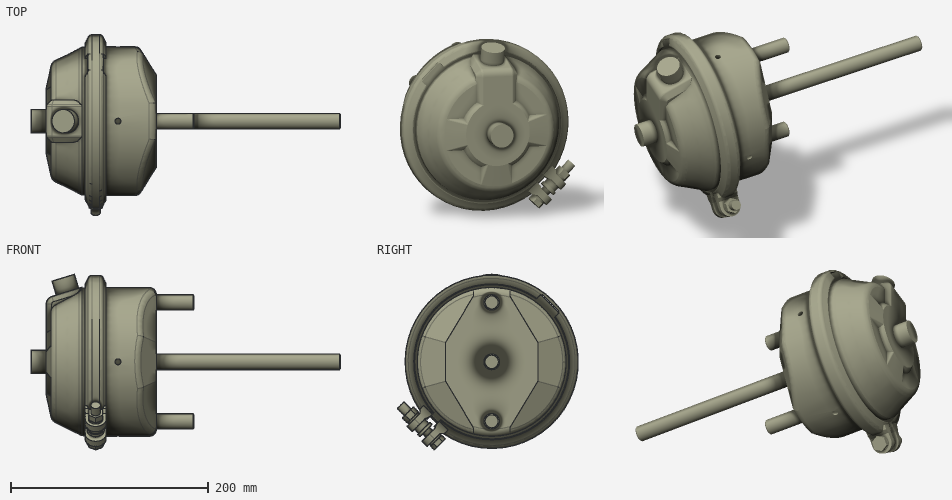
import cadquery as cq
import math


tolerance = 0.03

hub_face_x = 15.5
recess_floor_x = 20.0
recess_floor_radius = 55.2
shoulder_x = 25.0
shoulder_radius = 61.8
cone_end_x = 48.5
cone_end_radius = 73.5
cover_rim_x = 51.5
cover_radius = 150.0 / 2
hub_radius = 33.5
hub_foot_radius = 38.3
spoke_half_width = 10.7
spoke_fillet = 1.5
wall_slant = 5.5

pad_half_width = 16.0
pad_slant = 5.5
pad_wall_deg = 45.0
ridge_fillet = 2.5
pad_slope_deg = 17.0
pad_front_z = 64.7
pad_corner_radius = 8.2

port_diameter = 24.0
upper_port_x = 32.5
upper_port_top_z = 85.5
upper_port_length = 25.0

body_radius = 151.0 / 2
rear_face_x = 127.0
facet_tilt_deg = 32.0
facet_turn_deg = 31.0
middle_facet_reach = 46.8
outer_facet_reach = 50.2
rear_fillet = 7.2
drain_hole_diameter = 6.0
drain_hole_x = 88.2
drain_hole_depth = 6.3
drain_hole_count = 4

rod_diameter = 16.0
rod_end_x = 314.0
stud_diameter = 15.7
stud_end_x = 165.5
stud_offset_z = 60.3
rod_chamfer = 1.3

clamp_x = 65.5
clamp_half_width = 10.7
clamp_radius = 88.0
crown_half_width = 3.8
shoulder_half_width = 8.0
clamp_shoulder_radius = 84.8
round_half_width = 6.3
round_radius = 87.0
lip_radius = 78.2
lip_corner_radius = 79.0
flange_radius = 167.0 / 2
flange_half_width = 8.2
flange_chamfer = 1.5
window_half_length = 13.2
slit_half_length = 11.5
slit_height = 1.3
clamp_gap = 10.0
cut_margin = 6.3

lean = math.sqrt(0.5)
bolt_reach = 96.5
bolt_diameter = 9.7
bolt_head_start = -22.0
bolt_head_height = 5.3
bolt_end = 34.2
hex_across_corners = 16.0
nut_start = 16.5
nut_height = 7.2
lug_inner = 7.0
lug_outer = 14.5
collar_diameter = 14.8
ring_diameter = 17.5
ring_start = -2.2
ring_thickness = 3.0
lug_foot_reach = 80.0
lug_foot_inner_bend = 83.2
lug_bend_reach = 88.8
lug_foot_outer = 17.5


def revolve_about_x(outline):
    """Solid of revolution from an (x, radius) outline drawn on the XY plane."""
    return outline.close().revolve(360, (0, 0, 0), (1, 0, 0))


def rod_along_x(diameter, start, end, z=0.0):
    return cq.Workplane("YZ", origin=(start, 0, z)).circle(diameter / 2).extrude(end - start)


def cover_shell():
    return revolve_about_x(
        cq.Workplane("XY")
        .moveTo(clamp_x, 0)
        .lineTo(clamp_x, cover_radius)
        .lineTo(cover_rim_x, cover_radius)
        .lineTo(cone_end_x, cone_end_radius)
        .lineTo(shoulder_x, shoulder_radius)
        .tangentArcPoint((recess_floor_x, recess_floor_radius), relative=False)
        .lineTo(recess_floor_x, 0)
    )


def hub():
    return revolve_about_x(
        cq.Workplane("XY")
        .moveTo(hub_face_x, 0)
        .lineTo(hub_face_x, hub_radius)
        .lineTo(recess_floor_x, hub_foot_radius)
        .lineTo(clamp_x, hub_foot_radius)
        .lineTo(clamp_x, 0)
    )


def spokes():
    """Three raised arms with sloping walls, falling away from the hub towards the shoulder."""
    foot = spoke_half_width + wall_slant
    section = (
        cq.Workplane("XY")
        .polyline([(recess_floor_x, -foot), (hub_face_x, -spoke_half_width),
                   (hub_face_x, spoke_half_width), (recess_floor_x, foot)])
        .close()
        .extrude(-shoulder_radius)
    )
    slope = revolve_about_x(
        cq.Workplane("XY")
        .moveTo(hub_face_x, 0)
        .lineTo(hub_face_x, hub_radius)
        .lineTo(recess_floor_x, recess_floor_radius)
        .lineTo(recess_floor_x, 0)
    )
    spoke = section.intersect(slope)
    ridges = [
        edge for edge in spoke.edges().vals()
        if abs(edge.Center().y) > spoke_half_width - tolerance
        and edge.Center().x < recess_floor_x - tolerance
        and edge.Center().z < -tolerance
    ]
    spoke = spoke.newObject(ridges).fillet(spoke_fillet)
    arms = spoke
    for turn in (90, -90):
        arms = arms.union(spoke.rotate((0, 0, 0), (1, 0, 0), turn))
    return arms


def port_pad():
    """Wide arm from the hub up to the sloped seat of the upper port."""
    slope = math.radians(pad_slope_deg)
    tangent_length = pad_corner_radius * math.tan((math.pi / 2 - slope) / 2)
    corner_end = (
        hub_face_x + tangent_length * math.cos(slope),
        pad_front_z + tangent_length * math.sin(slope),
    )
    rear_z = pad_front_z + math.tan(slope) * (cover_rim_x - hub_face_x)

    def outline(plane):
        return (
            plane.moveTo(hub_face_x, 0)
            .lineTo(hub_face_x, pad_front_z - tangent_length)
            .tangentArcPoint(corner_end, relative=False)
            .lineTo(cover_rim_x, rear_z)
            .lineTo(cover_rim_x, 0)
            .close()
        )

    pad = outline(cq.Workplane("XZ")).extrude(pad_half_width, both=True)
    wall = outline(cq.Workplane("XZ", origin=(0, -pad_half_width, 0))).extrude(pad_slant, taper=pad_wall_deg)
    pad = pad.union(wall).union(wall.mirror("XZ"))
    ridges = [
        edge for edge in pad.edges().vals()
        if abs(abs(edge.Center().y) - pad_half_width) < tolerance
        and edge.Center().z > tolerance
        and edge.Center().x < cover_rim_x - tolerance
    ]
    return pad.newObject(ridges).fillet(ridge_fillet)


def upper_port():
    tilt = math.radians(pad_slope_deg)
    down = (math.sin(tilt), 0, -math.cos(tilt))
    top = cq.Plane(origin=(upper_port_x, 0, upper_port_top_z), xDir=(0, 1, 0), normal=down)
    return cq.Workplane(top).circle(port_diameter / 2).extrude(upper_port_length)


def rear_facet_cutter(turn_deg, reach):
    """Block above one slanted facet, the facet facing +Y before it is turned about X."""
    tilt = math.radians(facet_tilt_deg)
    facet = cq.Plane(origin=(rear_face_x, reach, 0), xDir=(0, 0, 1),
                     normal=(math.cos(tilt), math.sin(tilt), 0))
    block = cq.Workplane(facet).rect(4 * body_radius, 4 * body_radius).extrude(body_radius)
    return block.rotate((0, 0, 0), (1, 0, 0), turn_deg)


def body_shell():
    body = rod_along_x(2 * body_radius, clamp_x, rear_face_x)
    for side in (0, 180):
        body = body.cut(rear_facet_cutter(side, middle_facet_reach))
        for turn in (-facet_turn_deg, facet_turn_deg):
            body = body.cut(rear_facet_cutter(side + turn, outer_facet_reach))
    rim = [
        edge for edge in body.edges().vals()
        if edge.geomType() != "LINE" and edge.Center().x > drain_hole_x
    ]
    body = body.newObject(rim).fillet(rear_fillet)
    hole = (
        cq.Workplane("XY", origin=(drain_hole_x, 0, body_radius - drain_hole_depth))
        .circle(drain_hole_diameter / 2)
        .extrude(2 * drain_hole_depth)
    )
    for index in range(drain_hole_count):
        body = body.cut(hole.rotate((0, 0, 0), (1, 0, 0), index * 360 / drain_hole_count))
    return body


def rods():
    push_rod = rod_along_x(rod_diameter, clamp_x, rod_end_x)
    bars = push_rod.faces(">X").chamfer(rod_chamfer)
    for z in (-stud_offset_z, stud_offset_z):
        stud = rod_along_x(stud_diameter, clamp_x, stud_end_x, z)
        bars = bars.union(stud.faces(">X").chamfer(rod_chamfer))
    return bars


def bolt_plane(position):
    """Plane across the clamp bolt: local x points away from the axis, local y along +X."""
    return cq.Plane(
        origin=(clamp_x, -lean * position, lean * position),
        xDir=(0, -lean, -lean),
        normal=(0, -lean, lean),
    )


def clamp_block(inner, outer, length):
    """Block across the full band, centred on the bolt, between two distances from the axis."""
    return (
        cq.Workplane(bolt_plane(-length / 2))
        .center((inner + outer) / 2, 0)
        .rect(abs(outer - inner), 4 * clamp_half_width)
        .extrude(length)
    )


def flanges():
    pair = rod_along_x(2 * flange_radius, clamp_x - flange_half_width, clamp_x + flange_half_width)
    return pair.edges().chamfer(flange_chamfer)


def clamp_band():
    half_outline = [
        (clamp_half_width, lip_radius),
        (clamp_half_width, lip_corner_radius),
        (shoulder_half_width, clamp_shoulder_radius),
    ]
    front_side = [(clamp_x - offset, radius) for offset, radius in half_outline]
    rear_side = [(clamp_x + offset, radius) for offset, radius in reversed(half_outline)]
    front_crown = (clamp_x - crown_half_width, clamp_radius)
    band = revolve_about_x(
        cq.Workplane("XY")
        .polyline(front_side)
        .threePointArc((clamp_x - round_half_width, round_radius), front_crown)
        .lineTo(clamp_x + crown_half_width, clamp_radius)
        .threePointArc((clamp_x + round_half_width, round_radius), rear_side[0])
        .lineTo(*rear_side[1])
        .lineTo(*rear_side[2])
    )
    web = rod_along_x(4 * clamp_radius, clamp_x - flange_half_width, clamp_x + flange_half_width)
    window = clamp_block(-lip_radius + cut_margin, -clamp_shoulder_radius, 2 * window_half_length)
    flank_window = window.cut(web)
    gap = clamp_block(lip_radius - cut_margin, clamp_radius + cut_margin, clamp_gap)
    return band.cut(flank_window).cut(gap)


def hinge_slit():
    """Slit under the band on the side opposite the bolt."""
    return clamp_block(-flange_radius, -flange_radius - slit_height, 2 * slit_half_length)


def lugs():
    """Two bent ears, rounded about the bolt."""
    ear_end = bolt_reach + clamp_half_width
    bent_section = cq.Plane(
        origin=(clamp_x - clamp_half_width, 0, 0),
        xDir=(0, -lean, -lean),
        normal=(1, 0, 0),
    )
    plate = (
        cq.Workplane(bent_section)
        .polyline([
            (lug_foot_reach, -clamp_gap / 2),
            (lug_foot_inner_bend, -clamp_gap / 2),
            (lug_bend_reach, -lug_inner),
            (ear_end, -lug_inner),
            (ear_end, -lug_outer),
            (lug_bend_reach, -lug_outer),
            (clamp_shoulder_radius, -lug_foot_outer),
            (lug_foot_reach, -lug_foot_outer),
        ])
        .close()
        .extrude(2 * clamp_half_width)
    )
    rounded_end = (
        cq.Workplane(bolt_plane(0))
        .moveTo(lug_foot_reach, -clamp_half_width)
        .lineTo(bolt_reach, -clamp_half_width)
        .threePointArc((ear_end, 0), (bolt_reach, clamp_half_width))
        .lineTo(lug_foot_reach, clamp_half_width)
        .close()
        .extrude(lug_foot_outer, both=True)
    )
    ear = plate.intersect(rounded_end)
    other_ear = ear.mirror(bolt_plane(0).zDir, (0, 0, 0))
    return ear.union(other_ear)


def bolt():
    def disc(start, length, diameter):
        return cq.Workplane(bolt_plane(start)).center(bolt_reach, 0).circle(diameter / 2).extrude(length)

    def hexagon(start, length):
        return (
            cq.Workplane(bolt_plane(start)).center(bolt_reach, 0)
            .polygon(6, hex_across_corners).extrude(length)
        )

    head_end = bolt_head_start + bolt_head_height
    shank = disc(bolt_head_start, bolt_end - bolt_head_start, bolt_diameter)
    return (
        shank
        .union(hexagon(bolt_head_start, bolt_head_height))
        .union(hexagon(nut_start, nut_height))
        .union(disc(head_end, -lug_outer - head_end, collar_diameter))
        .union(disc(lug_outer, nut_start - lug_outer, collar_diameter))
        .union(disc(ring_start, ring_thickness, ring_diameter))
        .union(disc(ring_start, lug_inner - ring_start, collar_diameter))
    )


cover = cover_shell().union(hub()).union(spokes()).union(port_pad())
chamber = cover.union(body_shell()).union(rods()).union(flanges()).union(clamp_band()).cut(hinge_slit())
front_port = rod_along_x(port_diameter, 0, clamp_x)
result = chamber.union(front_port).union(upper_port()).union(lugs()).union(bolt())